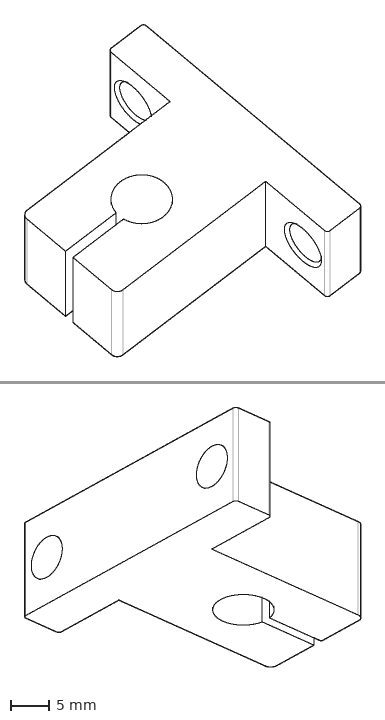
import cadquery as cq

flange_length = 41.2
depth = 33.0
height = 14.0

flange_thickness = 6.3
block_width = 18.0
flange_corner_radius = 0.5
block_corner_radius = 1.05

bore_diameter = 8.0
bore_to_back = 20.0
slot_width = 1.4

hole_diameter = 6.0
hole_spacing = 32.0
hole_chamfer = 0.5

flange_front = depth - flange_thickness
bore_center_y = depth - bore_to_back


def make_flange():
    flange = cq.Workplane("XY").box(
        flange_length, flange_thickness, height, centered=(True, False, True)
    )
    flange = flange.edges("|Z").fillet(flange_corner_radius)
    return flange.translate((0, flange_front, 0))


def make_clamp_block():
    block = cq.Workplane("XY").box(
        block_width, depth, height, centered=(True, False, True)
    )
    return block.edges("|Z and <Y").fillet(block_corner_radius)


def make_shaft_cut():
    bore = cq.Workplane("XY").circle(bore_diameter / 2).extrude(height / 2, both=True)
    bore = bore.translate((0, bore_center_y, 0))
    slot = cq.Workplane("XY").box(
        slot_width, bore_center_y, height, centered=(True, False, True)
    )
    return bore.union(slot)


def make_mounting_hole(x):
    """Through hole along Y with a chamfered mouth on the front of the flange."""
    radius = hole_diameter / 2
    mouth_radius = radius + hole_chamfer
    profile = (
        cq.Workplane("XY")
        .moveTo(0, flange_front)
        .lineTo(mouth_radius, flange_front)
        .lineTo(radius, flange_front + hole_chamfer)
        .lineTo(radius, depth)
        .lineTo(0, depth)
        .close()
    )
    return profile.revolve(360, (0, 0, 0), (0, 1, 0)).translate((x, 0, 0))


def make_shaft_support():
    support = make_flange().union(make_clamp_block())
    support = support.cut(make_shaft_cut())
    for side in (-1, 1):
        support = support.cut(make_mounting_hole(side * hole_spacing / 2))
    return support


shaft_support = make_shaft_support()

result = cq.Compound.makeCompound([shaft_support.val()])